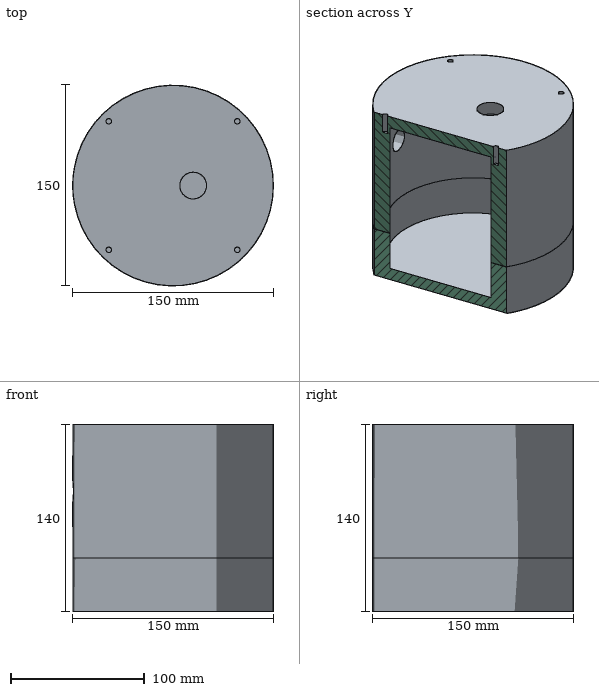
import cadquery as cq

outer_diameter = 150.0
total_height = 140.0
base_height = 40.0
housing_height = total_height - base_height

cavity_diameter = 130.0
wall_thickness = (outer_diameter - cavity_diameter) / 2
roof_thickness = wall_thickness
floor_thickness = wall_thickness

screw_hole_diameter = 4.0
screw_hole_spacing = 96.0
screw_hole_depth = 15.0

top_port_diameter = 20.0
top_port_offset = 15.0

side_port_diameter = 17.0
side_port_height = base_height + housing_height / 2


def make_base():
    """Round cup resting on Z = 0, open at the top."""
    body = cq.Workplane("XY").circle(outer_diameter / 2).extrude(base_height)
    cavity = (
        cq.Workplane("XY", origin=(0, 0, floor_thickness))
        .circle(cavity_diameter / 2)
        .extrude(base_height - floor_thickness)
    )
    return body.cut(cavity)


def cut_housing_cavity(body):
    """Round cavity, open at the bottom and closed by the roof at the top."""
    cavity = (
        cq.Workplane("XY", origin=(0, 0, base_height))
        .circle(cavity_diameter / 2)
        .extrude(housing_height - roof_thickness)
    )
    return body.cut(cavity)


def cut_screw_holes(body):
    """Four blind holes in the top face."""
    holes = (
        cq.Workplane("XY", origin=(0, 0, total_height))
        .rect(screw_hole_spacing, screw_hole_spacing, forConstruction=True)
        .vertices()
        .circle(screw_hole_diameter / 2)
        .extrude(-screw_hole_depth)
    )
    return body.cut(holes)


def cut_top_port(body):
    """Vertical port through the roof, offset from the axis toward +X."""
    port = (
        cq.Workplane("XY", origin=(top_port_offset, 0, total_height))
        .circle(top_port_diameter / 2)
        .extrude(-housing_height)
    )
    return body.cut(port)


def cut_side_port(body):
    """Horizontal port through the -X wall, opening into the cavity."""
    port = (
        cq.Workplane("YZ", origin=(-outer_diameter / 2, 0, side_port_height))
        .circle(side_port_diameter / 2)
        .extrude(outer_diameter / 2)
    )
    return body.cut(port)


def make_housing():
    """Hollow cylindrical housing standing on the base, with its ports and screw holes."""
    body = (
        cq.Workplane("XY", origin=(0, 0, base_height))
        .circle(outer_diameter / 2)
        .extrude(housing_height)
    )
    body = cut_housing_cavity(body)
    body = cut_screw_holes(body)
    body = cut_top_port(body)
    return cut_side_port(body)


base = make_base()
housing = make_housing()

result = cq.Compound.makeCompound([base.val(), housing.val()])